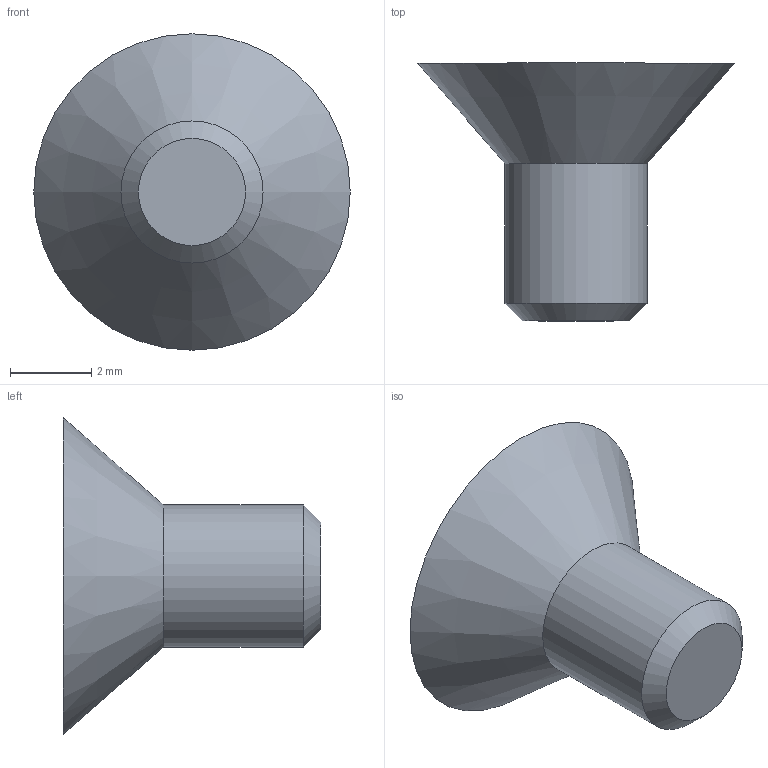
import cadquery as cq
import math

head_diameter = 7.8
shank_diameter = 3.5
total_length = 6.35
countersink_angle = 82.0
tip_chamfer = 0.43

head_radius = head_diameter / 2
shank_radius = shank_diameter / 2
tip_radius = shank_radius - tip_chamfer
head_height = (head_radius - shank_radius) / math.tan(math.radians(countersink_angle / 2))


def make_screw():
    """Revolve the half profile (X = radius, Y = axial position) about Y."""
    return (
        cq.Workplane("XY")
        .moveTo(0, 0)
        .lineTo(head_radius, 0)
        .lineTo(shank_radius, -head_height)
        .lineTo(shank_radius, tip_chamfer - total_length)
        .lineTo(tip_radius, -total_length)
        .lineTo(0, -total_length)
        .close()
        .revolve(360, (0, 0, 0), (0, 1, 0))
    )


result = make_screw()